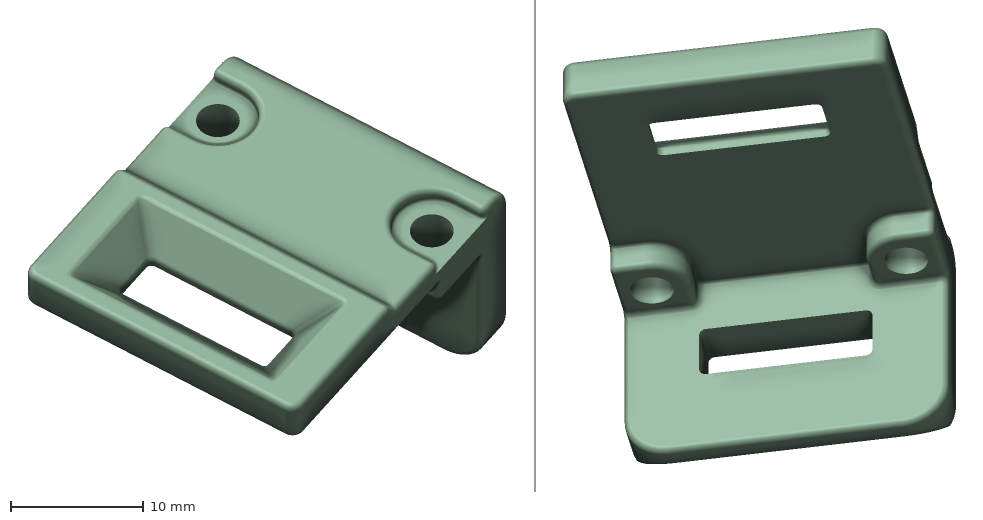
import cadquery as cq

width = 25.0
length = 28.5
height = 19.0

wall_thickness = 3.62
plate_thickness = 3.5
step_height = 1.0
ramp_foot_y = -15.0
back_bend_radius = 2.0

foot_corner_radius = 3.5
foot_chamfer = 2.0
slot_width = 13.35
slot_height = 4.25
slot_center_z = 8.98

hole_diameter = 3.3
hole_inset = 2.7
hole_y = -6.33
boss_radius = 3.0
boss_height = 2.22
recess_radius = 3.1
recess_depth = 1.0

window_width = 13.4
window_height = 4.13
window_center_y = -22.05
funnel_flare = 2.8

edge_radius = 0.5
frame_corner_radius = 1.0
under_plate_radius = 0.28
recess_floor_radius = 0.2

half_width = width / 2
deck_z = height - step_height
plate_bottom_z = height - plate_thickness
boss_bottom_z = plate_bottom_z - boss_height
recess_floor_z = deck_z - recess_depth
shallow_floor_z = recess_floor_z + recess_floor_radius
hole_x = half_width - hole_inset
frame_corner_y = frame_corner_radius - length
overshoot = 1.42
tol = 0.003


def near(a, b):
    return abs(a - b) < tol


def edge_at(x, y, z):
    return cq.selectors.NearestToPointSelector((x, y, z))


def bracket_body():
    """Wall, deck and raised frame with the bends and outline corners rounded."""
    ramp_top_y = ramp_foot_y - step_height
    profile = [
        (0, 0),
        (0, deck_z),
        (ramp_foot_y, deck_z),
        (ramp_top_y, height),
        (-length, height),
        (-length, plate_bottom_z),
        (-wall_thickness, plate_bottom_z),
        (-wall_thickness, 0),
    ]
    body = cq.Workplane("YZ").polyline(profile).close().extrude(half_width, both=True)
    body = body.edges(edge_at(0, 0, deck_z)).fillet(back_bend_radius)
    body = body.edges(edge_at(0, ramp_foot_y, deck_z)).fillet(edge_radius)
    body = body.edges(edge_at(0, ramp_top_y, height)).fillet(edge_radius)
    body = body.edges("|Z and <Y").fillet(frame_corner_radius)
    return body.edges("|Y and <Z").fillet(foot_corner_radius)


def boss(side):
    """Block under a screw hole, flush with the bracket's side and tied into the wall."""
    side_x = side * half_width
    inner_x = side * (hole_x - boss_radius)
    front_y = hole_y - boss_radius
    root_y = -wall_thickness / 2
    block = (
        cq.Workplane("XY", origin=(0, 0, boss_bottom_z))
        .moveTo(side_x, root_y)
        .lineTo(side_x, front_y)
        .lineTo(side * hole_x, front_y)
        .radiusArc((inner_x, hole_y), side * boss_radius)
        .lineTo(inner_x, root_y)
        .close()
        .extrude(boss_height + tol)
    )
    lower_rim = block.faces("<Z").edges().filter(
        lambda e: not near(e.Center().x, side_x) and not near(e.Center().y, root_y)
    )
    return lower_rim.fillet(edge_radius)


def blend_bosses(body):
    """Round the inner corners where bosses, wall and plate meet."""
    boss_to_wall = body.edges().filter(
        lambda e: near(e.BoundingBox().ymin, -wall_thickness)
        and near(e.BoundingBox().ymax, -wall_thickness)
        and boss_bottom_z - tol < e.Center().z < plate_bottom_z - tol
    )
    body = boss_to_wall.fillet(edge_radius)
    under_plate = body.edges().filter(
        lambda e: near(e.BoundingBox().zmin, plate_bottom_z)
        and near(e.BoundingBox().zmax, plate_bottom_z)
        and e.BoundingBox().ymin > hole_y - boss_radius - tol
    )
    return under_plate.fillet(under_plate_radius)


def foot_chamfer_cutter():
    triangle = [(0, 0), (-foot_chamfer, 0), (0, foot_chamfer)]
    return cq.Workplane("YZ").polyline(triangle).close().extrude(half_width, both=True)


def recess_cutter(side, floor_z):
    """Channel with a round inner end that flares into the bracket's side."""
    side_x = side * half_width
    flare_x = side * (half_width - edge_radius)
    outer_x = side * (half_width + overshoot)
    mouth = recess_radius + edge_radius
    return (
        cq.Workplane("XY", origin=(0, hole_y, floor_z))
        .moveTo(outer_x, mouth)
        .lineTo(side_x, mouth)
        .radiusArc((flare_x, recess_radius), side * edge_radius)
        .lineTo(side * hole_x, recess_radius)
        .threePointArc((side * (hole_x - recess_radius), 0), (side * hole_x, -recess_radius))
        .lineTo(flare_x, -recess_radius)
        .radiusArc((side_x, -mouth), side * edge_radius)
        .lineTo(outer_x, -mouth)
        .close()
        .extrude(height - floor_z)
    )


def deep_recess_cutter(side):
    """Full-depth recess with the foot of its wall rounded."""
    cutter = recess_cutter(side, recess_floor_z)
    wall_foot = cutter.faces("<Z").edges().filter(
        lambda e: abs(e.Center().x) < half_width - tol
    )
    return wall_foot.fillet(recess_floor_radius)


def round_outer_edges(body):
    """Round the outline of the sides, frame, foot and recesses in one pass."""
    side_outlines = body.faces("<X or >X").edges().filter(
        lambda e: not near(e.Center().y, frame_corner_y)
        and not near(e.Center().z, foot_corner_radius)
        and not near(e.Center().z, shallow_floor_z)
    )
    frame_front = body.edges("#Z").filter(
        lambda e: e.BoundingBox().ymax < frame_corner_y + tol
    )
    recess_rims = body.edges("#Z").filter(
        lambda e: near(e.Center().z, deck_z)
        and abs(e.Center().x) < half_width - tol
        and abs(e.Center().y - hole_y) < recess_radius + tol
    )
    foot_outline = body.edges("not |Y").filter(
        lambda e: e.BoundingBox().zmax < foot_corner_radius + tol
        and not near(e.BoundingBox().zmin, foot_chamfer)
    )
    edges = [side_outlines, frame_front, recess_rims, foot_outline]
    return body.newObject([e for group in edges for e in group.vals()]).fillet(edge_radius)


def add_window(body):
    """Cut a rectangular window that flares out at 45 degrees and round its edges."""
    land_top_z = height - funnel_flare
    rim_width = window_width + 2 * funnel_flare
    rim_height = window_height + 2 * funnel_flare
    land = (
        cq.Workplane("XY", origin=(0, window_center_y, plate_bottom_z))
        .rect(window_width, window_height)
        .extrude(land_top_z - plate_bottom_z)
    )
    flare = (
        cq.Workplane("XY", origin=(0, window_center_y, land_top_z))
        .rect(window_width, window_height)
        .workplane(offset=funnel_flare)
        .rect(rim_width, rim_height)
        .loft(ruled=True)
    )
    cutter = land.union(flare)
    inner_edges = cutter.edges().filter(
        lambda e: plate_bottom_z + tol < e.Center().z < height - tol
    )
    body = body.cut(inner_edges.fillet(edge_radius))
    rim = body.faces(">Z").edges().filter(
        lambda e: abs(e.Center().x) < rim_width / 2 + tol
        and abs(e.Center().y - window_center_y) < rim_height / 2 + tol
    )
    return rim.fillet(edge_radius)


def wall_slot_cutter():
    slot = cq.Workplane("XZ", origin=(0, overshoot, slot_center_z)).rect(slot_width, slot_height)
    return slot.extrude(wall_thickness + 2 * overshoot).edges("|Y").fillet(edge_radius)


def hole_cutter(side):
    return (
        cq.Workplane("XY", origin=(side * hole_x, hole_y, 0))
        .circle(hole_diameter / 2)
        .extrude(height)
    )


result = bracket_body()
for side in (-1, 1):
    result = result.union(boss(side))
result = blend_bosses(result)
result = result.cut(foot_chamfer_cutter())

for side in (-1, 1):
    result = result.cut(recess_cutter(side, shallow_floor_z))
result = round_outer_edges(result)
for side in (-1, 1):
    result = result.cut(deep_recess_cutter(side))

result = add_window(result)
result = result.cut(wall_slot_cutter())
for side in (-1, 1):
    result = result.cut(hole_cutter(side))